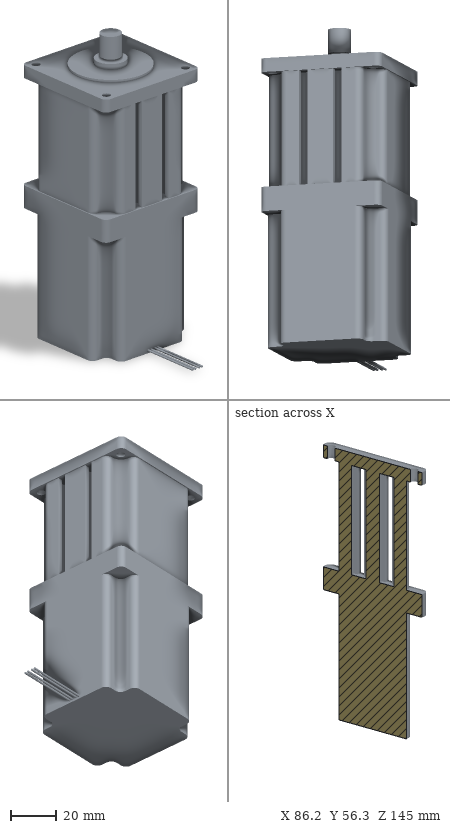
import cadquery as cq
import math

square_side = 56.3
half_side = square_side / 2
total_height = 145.0

motor_top = 59.9
adapter_top = 64.7
lower_flange_top = 70.9
gearbox_top = 122.7
upper_flange_top = 128.9
pilot_top = 130.2
collar_top = 133.0
neck_top = 134.1

pilot_diameter = 38.3
collar_diameter = 15.1
neck_diameter = 7.8
shaft_diameter = 10.2

flange_corner_radius = 2.9
hole_pitch = 47.0
hole_diameter = 4.0

notch_size = 9.0
notch_radius = 3.0

gearbox_side = 55.1
lip_radius = 3.2
scallop_radius = 5.2

slot_spacing = 15.8
slot_mouth_width = 3.9
slot_mouth_depth = 2.5
slot_head_width = 8.0
slot_head_depth = 3.5

wire_diameter = 1.0
wire_length = 29.9
wire_height = 1.5
wire_embed = 1.5
wire_pitch = 1.6
wire_pair_spacing = 3.9


def plate(bottom, top):
    """Square plate with rounded vertical corners."""
    return (
        cq.Workplane("XY", origin=(0, 0, bottom))
        .rect(square_side, square_side)
        .extrude(top - bottom)
        .edges("|Z")
        .fillet(flange_corner_radius)
    )


def disc(diameter, bottom, top):
    """Round section on the motor axis."""
    return cq.Workplane("XY", origin=(0, 0, bottom)).circle(diameter / 2).extrude(top - bottom)


def motor_body():
    """Square body with a rounded square notch along each vertical corner."""
    arm_width = square_side - 2 * notch_size
    arm_along_x = cq.Workplane("XY").rect(square_side, arm_width).extrude(motor_top)
    arm_along_y = cq.Workplane("XY").rect(arm_width, square_side).extrude(motor_top)
    return arm_along_x.union(arm_along_y).edges("|Z").fillet(notch_radius)


def quarter_turned(point, turns):
    """Point turned about the motor axis by a number of quarter turns."""
    x, y = point
    for _ in range(turns):
        x, y = -y, x
    return (x, y)


def gearbox_body():
    """Square body with a round scallop along each vertical corner."""
    half = gearbox_side / 2
    scallop_center = half - lip_radius
    lip_end = scallop_center - scallop_radius
    flat_end = lip_end - lip_radius
    lip_offset = lip_radius * math.sqrt(0.5)
    scallop_middle = scallop_center - scallop_radius * math.sqrt(0.5)

    profile = cq.Workplane("XY", origin=(0, 0, lower_flange_top)).moveTo(half, -flat_end)
    for turns in range(4):
        flat_stop, lip_middle, lip_stop, scallop_point, scallop_stop, next_middle, next_flat = [
            quarter_turned(point, turns)
            for point in (
                (half, flat_end),
                (scallop_center + lip_offset, flat_end + lip_offset),
                (scallop_center, lip_end),
                (scallop_middle, scallop_middle),
                (lip_end, scallop_center),
                (flat_end + lip_offset, scallop_center + lip_offset),
                (flat_end, half),
            )
        ]
        profile = profile.lineTo(*flat_stop).threePointArc(lip_middle, lip_stop)
        profile = profile.threePointArc(scallop_point, scallop_stop)
        profile = profile.threePointArc(next_middle, next_flat)
    return profile.close().extrude(gearbox_top - lower_flange_top)


def slot_blocks(depth, width, center_x):
    """Four full-height blocks, two on each X side of the gearbox."""
    return (
        cq.Workplane("XY", origin=(0, 0, lower_flange_top))
        .rarray(2 * center_x, slot_spacing, 2, 2)
        .rect(depth, width)
        .extrude(gearbox_top - lower_flange_top)
    )


def t_slots():
    """Cutting bodies for two T-slots on each X side of the gearbox."""
    side_face = gearbox_side / 2
    head_center = side_face - slot_mouth_depth - slot_head_depth / 2
    slot_depth = slot_mouth_depth + slot_head_depth
    mouths = slot_blocks(slot_depth, slot_mouth_width, side_face - slot_depth / 2)
    return mouths.union(slot_blocks(slot_head_depth, slot_head_width, head_center))


def upper_flange():
    """Mounting flange with four through holes."""
    holes = (
        cq.Workplane("XY", origin=(0, 0, gearbox_top))
        .rect(hole_pitch, hole_pitch, forConstruction=True)
        .vertices()
        .circle(hole_diameter / 2)
        .extrude(upper_flange_top - gearbox_top)
    )
    return plate(gearbox_top, upper_flange_top).cut(holes)


def output_end():
    """Pilot, collar, neck and shaft stacked on the upper flange."""
    pilot = disc(pilot_diameter, upper_flange_top, pilot_top)
    collar = disc(collar_diameter, pilot_top, collar_top)
    neck = disc(neck_diameter, collar_top, neck_top)
    shaft = disc(shaft_diameter, neck_top, total_height)
    return pilot.union(collar).union(neck).union(shaft)


def lead_wires():
    """Four straight round wires, grouped in two pairs."""
    positions = [
        (pair * wire_pair_spacing / 2 + side * wire_pitch / 2, wire_height)
        for pair in (-1, 1)
        for side in (-1, 1)
    ]
    return (
        cq.Workplane("YZ", origin=(half_side - wire_embed, 0, 0))
        .pushPoints(positions)
        .circle(wire_diameter / 2)
        .extrude(wire_length + wire_embed)
    )


result = motor_body()
for section in (
    plate(motor_top, adapter_top),
    plate(adapter_top, lower_flange_top),
    gearbox_body().cut(t_slots()),
    upper_flange(),
    output_end(),
    lead_wires(),
):
    result = result.union(section, clean=False)